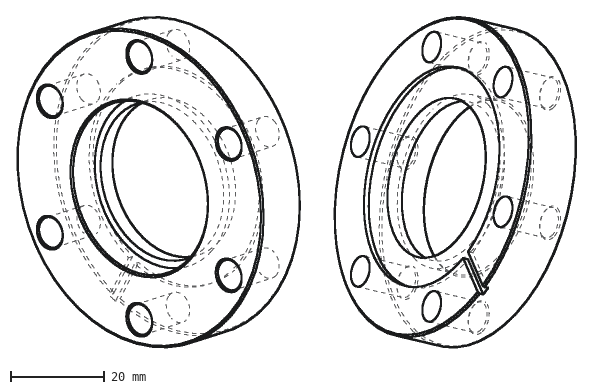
import cadquery as cq

outer_diameter = 70.0
thickness = 12.7
rim_chamfer = 0.4

bore_diameter = 35.0
counterbore_diameter = 38.3
counterbore_depth = 7.5
counterbore_chamfer = 0.4

recess_diameter = 48.3
recess_depth = 1.3

bolt_count = 6
bolt_circle_diameter = 58.7
bolt_hole_diameter = 6.7
bolt_hole_chamfer = 0.35

groove_width = 2.0
groove_depth = recess_depth

bolt_pitch_angle = 360.0 / bolt_count
first_bolt_angle = 90.0
groove_pitches = 2.5
groove_angle = first_bolt_angle + groove_pitches * bolt_pitch_angle

outer_radius = outer_diameter / 2
front_y = -thickness / 2
back_y = thickness / 2


def y_cylinder(diameter, start_y, length):
    """Cylinder on the flange axis, running from start_y toward +Y."""
    return cq.Workplane("XZ", origin=(0, start_y, 0)).circle(diameter / 2).extrude(-length)


def chamfered_hole_cutter(diameter, depth, chamfer):
    """Cutter for a round hole entering the front face, with a chamfered mouth."""
    radius = diameter / 2
    profile = [
        (0, front_y),
        (radius + chamfer, front_y),
        (radius, front_y + chamfer),
        (radius, front_y + depth),
        (0, front_y + depth),
    ]
    return cq.Workplane("XY").polyline(profile).close().revolve(360, (0, 0, 0), (0, 1, 0))


def make_disc():
    """Plain disc with both rims chamfered."""
    return y_cylinder(outer_diameter, front_y, thickness).edges("%CIRCLE").chamfer(rim_chamfer)


def cut_bore(body):
    """Through bore plus the chamfered counterbore."""
    body = body.cut(y_cylinder(bore_diameter, front_y, thickness))
    return body.cut(chamfered_hole_cutter(counterbore_diameter, counterbore_depth, counterbore_chamfer))


def cut_seal_recess(body):
    """Shallow flat-bottomed recess in the back face."""
    return body.cut(y_cylinder(recess_diameter, back_y - recess_depth, recess_depth))


def cut_bolt_holes(body):
    """Through holes spaced evenly on the bolt circle."""
    top_hole = chamfered_hole_cutter(bolt_hole_diameter, thickness, bolt_hole_chamfer)
    top_hole = top_hole.translate((0, 0, bolt_circle_diameter / 2))
    for index in range(bolt_count):
        body = body.cut(top_hole.rotate((0, 0, 0), (0, 1, 0), index * bolt_pitch_angle))
    return body


def cut_leak_groove(body):
    """Radial groove in the back face, joining the recess to the rim."""
    groove = (
        cq.Workplane("XY")
        .box(outer_radius, groove_depth, groove_width, centered=(False, False, True))
        .translate((0, back_y - groove_depth, 0))
        .rotate((0, 0, 0), (0, 1, 0), -groove_angle)
    )
    return body.cut(groove)


flange = make_disc()
flange = cut_bore(flange)
flange = cut_seal_recess(flange)
flange = cut_bolt_holes(flange)
result = cut_leak_groove(flange)